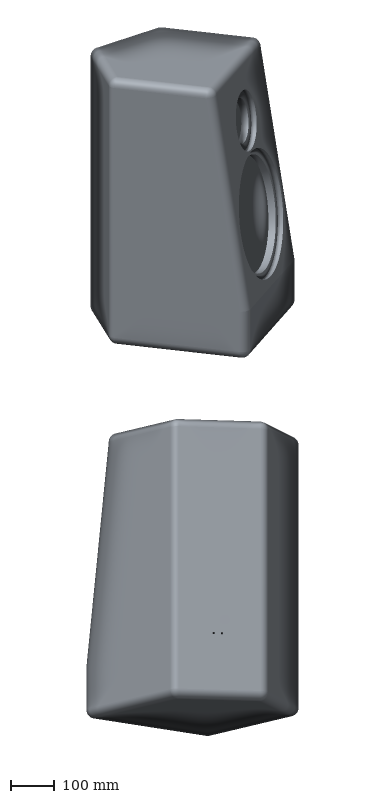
import cadquery as cq
import math

length = 433.5
width = 370.0
height = 650.0
edge_radius = 20.0
wall = 30.5
cutter_depth = wall + 3.0
nose_half_angle = math.radians(60)
lean = math.radians(9)
bend_height = 119.5

woofer = {"height": 289.0, "recess_radius": 151.0, "recess_depth": 13.0, "opening_radius": 136.5}
tweeter = {"height": 513.0, "recess_radius": 71.0, "recess_depth": 13.0, "opening_radius": 52.0}

terminal_radius = 2.5
terminal_height = 151.5
terminal_positions = (88.5, 104.5)

nose_x = -edge_radius * (1 / math.sin(nose_half_angle) - 1)


def cabinet_block(inset):
    """Sharp-edged cabinet with every face moved inwards by inset."""
    half_width = width / 2 - inset
    apex_x = nose_x + inset / math.sin(nose_half_angle)
    shoulder_x = apex_x + half_width / math.tan(nose_half_angle)
    front_x = length - inset
    bottom_z = inset
    top_z = height - inset
    bend_z = bend_height - inset * math.tan(lean / 2)
    top_front_x = front_x - (top_z - bend_z) * math.tan(lean)

    plan = (
        cq.Workplane("XY")
        .workplane(offset=bottom_z)
        .polyline([
            (apex_x, 0),
            (shoulder_x, -half_width),
            (front_x, -half_width),
            (front_x, half_width),
            (shoulder_x, half_width),
        ])
        .close()
        .extrude(top_z - bottom_z)
    )
    side_profile = (
        cq.Workplane("XZ")
        .polyline([
            (apex_x, bottom_z),
            (front_x, bottom_z),
            (front_x, bend_z),
            (top_front_x, top_z),
            (apex_x, top_z),
        ])
        .close()
        .extrude(half_width, both=True)
    )
    return plan.intersect(side_profile)


def driver_cutter(driver):
    """Recess and through opening, square to the leaning baffle."""
    centre_x = length - (driver["height"] - bend_height) * math.tan(lean)
    inward = cq.Vector(-math.cos(lean), 0, -math.sin(lean))
    plane = cq.Plane(origin=(centre_x, 0, driver["height"]), xDir=(0, 1, 0), normal=inward)
    recess = cq.Workplane(plane).circle(driver["recess_radius"]).extrude(driver["recess_depth"])
    opening = cq.Workplane(plane).circle(driver["opening_radius"]).extrude(cutter_depth)
    return recess.union(opening)


def terminal_cutter(y):
    """Small hole through the +Y nose wall."""
    centre_x = nose_x + y / math.tan(nose_half_angle)
    inward = cq.Vector(math.sin(nose_half_angle), -math.cos(nose_half_angle), 0)
    plane = cq.Plane(origin=(centre_x, y, terminal_height), xDir=(0, 0, 1), normal=inward)
    return cq.Workplane(plane).circle(terminal_radius).extrude(cutter_depth)


bend_edge = cq.selectors.NearestToPointSelector((length, 0, bend_height))
outer_block = cabinet_block(0)
rounded_edges = outer_block.edges(cq.selectors.SubtractSelector(cq.selectors.BoxSelector(
    (-length, -width, -height), (2 * length, width, 2 * height)), bend_edge))
result = rounded_edges.fillet(edge_radius)

result = result.cut(cabinet_block(wall))
for driver in (woofer, tweeter):
    result = result.cut(driver_cutter(driver))
for position in terminal_positions:
    result = result.cut(terminal_cutter(position))